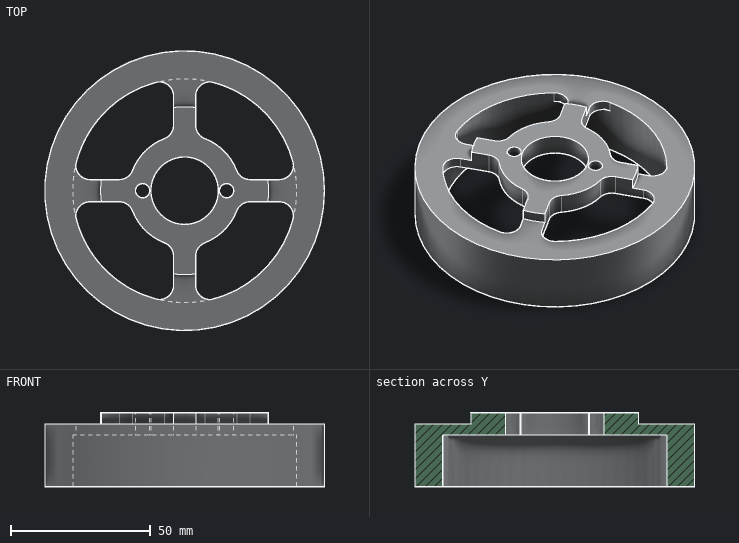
import cadquery as cq

rim_diameter = 100.0
rim_height = 22.5
rim_bore_diameter = 80.0

web_thickness = 4.0
raised_height = 4.0
raised_diameter = 60.0
hub_diameter = 40.0
spoke_width = 8.0
spoke_angles = (0, 90)
window_corner_radius = 5.0

shaft_bore_diameter = 24.0
pin_hole_diameter = 5.0
pin_circle_diameter = 30.0

web_bottom = rim_height - web_thickness
total_height = rim_height + raised_height


def disc(diameter, bottom, top):
    """Solid disc on the Z axis between two heights."""
    return cq.Workplane("XY").workplane(offset=bottom).circle(diameter / 2).extrude(top - bottom)


def make_window_cutter():
    """Four rounded openings left between the hub, the crossed spokes and the rim bore."""
    cutter = disc(rim_bore_diameter, web_bottom, total_height)
    cutter = cutter.cut(disc(hub_diameter, web_bottom, total_height))
    middle_height = (web_bottom + total_height) / 2
    for angle in spoke_angles:
        spoke_pair = (
            cq.Workplane("XY")
            .box(rim_diameter, spoke_width, total_height - web_bottom)
            .translate((0, 0, middle_height))
            .rotate((0, 0, 0), (0, 0, 1), angle)
        )
        cutter = cutter.cut(spoke_pair)
    return cutter.edges("|Z").fillet(window_corner_radius)


wheel = disc(rim_diameter, 0, rim_height)
wheel = wheel.cut(disc(rim_bore_diameter, 0, web_bottom))
wheel = wheel.union(disc(raised_diameter, web_bottom, total_height))

wheel = wheel.cut(make_window_cutter())

wheel = wheel.cut(disc(shaft_bore_diameter, web_bottom, total_height))

pin_offset = pin_circle_diameter / 2
for pin_x in (-pin_offset, pin_offset):
    pin_hole = disc(pin_hole_diameter, web_bottom, total_height)
    wheel = wheel.cut(pin_hole.translate((pin_x, 0, 0)))

result = wheel